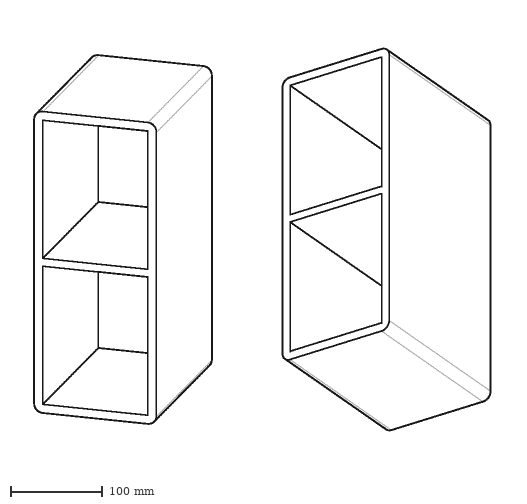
import cadquery as cq

width = 140.5
depth = 200.0
height = 349.0

wall = 10.0
divider = 9.0
corner_radius = wall

cell_width = width - 2 * wall
cell_height = (height - 2 * wall - divider) / 2
cell_offset = (cell_height + divider) / 2

body = cq.Workplane("XY").box(width, depth, height).edges("|Y").fillet(corner_radius)

cells = (
    cq.Workplane("XZ")
    .pushPoints([(0, -cell_offset), (0, cell_offset)])
    .rect(cell_width, cell_height)
    .extrude(depth / 2, both=True)
)

result = body.cut(cells)